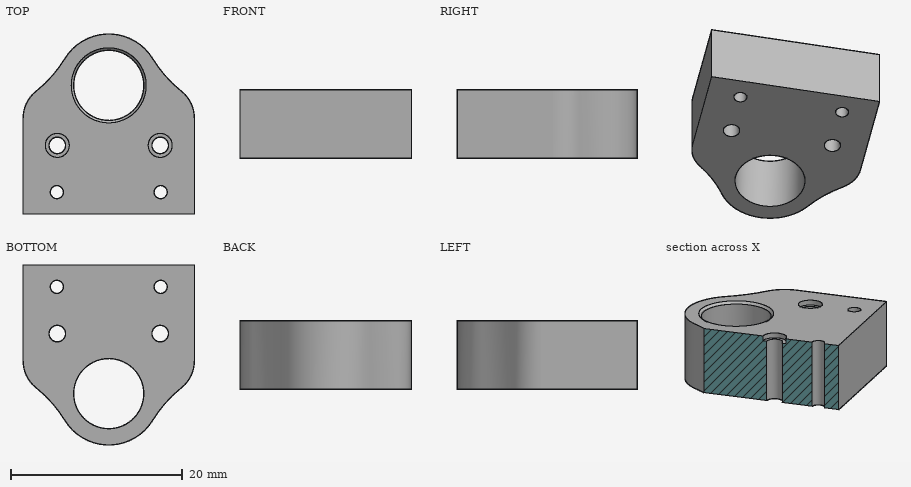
import cadquery as cq
import math

WIDTH = 20.0
HEIGHT = 8.0

EYE_Y = 15.0
EYE_RADIUS = 6.0
BORE_DIAMETER = 8.15
BORE_CHAMFER = 0.3
CHAMFER_CONE_ANGLE = 90

SHOULDER_RADIUS = 4.0
SHOULDER_X = WIDTH / 2 - SHOULDER_RADIUS
SHOULDER_Y = 11.18
BLEND_RADIUS = 15.0

SCREW_X = 6.0
SCREW_Y = 8.0
SCREW_DIAMETER = 1.9
COUNTERBORE_DIAMETER = 2.8
COUNTERBORE_DEPTH = 0.6

PIN_X = 6.05
PIN_Y = 2.55
PIN_DIAMETER = 1.5


def blend_center():
    """Center of the right-hand concave arc, tangent to both the eye and the shoulder."""
    to_eye = EYE_RADIUS + BLEND_RADIUS
    to_shoulder = SHOULDER_RADIUS + BLEND_RADIUS
    dx = SHOULDER_X
    dy = SHOULDER_Y - EYE_Y
    span = math.hypot(dx, dy)
    along = (to_eye**2 - to_shoulder**2 + span**2) / (2 * span)
    across = math.sqrt(to_eye**2 - along**2)
    return (along * dx - across * dy) / span, EYE_Y + (along * dy + across * dx) / span


def toward(start, end, distance):
    """Point at the given distance from start, in the direction of end."""
    fraction = distance / math.dist(start, end)
    return start[0] + (end[0] - start[0]) * fraction, start[1] + (end[1] - start[1]) * fraction


def arc_middle(center, radius, start, end):
    """Middle point of the minor arc from start to end."""
    chord_middle = ((start[0] + end[0]) / 2, (start[1] + end[1]) / 2)
    return toward(center, chord_middle, radius)


def mirrored(point):
    """Same point on the left-hand side."""
    return -point[0], point[1]


def make_body():
    """Block extruded from the outline, with the eye rising behind the shoulders."""
    eye = (0, EYE_Y)
    shoulder = (SHOULDER_X, SHOULDER_Y)
    blend = blend_center()
    corner = (WIDTH / 2, 0)
    side_end = (WIDTH / 2, SHOULDER_Y)
    shoulder_end = toward(shoulder, blend, SHOULDER_RADIUS)
    eye_start = toward(eye, blend, EYE_RADIUS)
    eye_top = (0, EYE_Y + EYE_RADIUS)

    shoulder_mid = arc_middle(shoulder, SHOULDER_RADIUS, side_end, shoulder_end)
    blend_mid = arc_middle(blend, BLEND_RADIUS, shoulder_end, eye_start)

    return (
        cq.Workplane("XY")
        .moveTo(*mirrored(corner))
        .lineTo(*corner)
        .lineTo(*side_end)
        .threePointArc(shoulder_mid, shoulder_end)
        .threePointArc(blend_mid, eye_start)
        .threePointArc(eye_top, mirrored(eye_start))
        .threePointArc(mirrored(blend_mid), mirrored(shoulder_end))
        .threePointArc(mirrored(shoulder_mid), mirrored(side_end))
        .close()
        .extrude(HEIGHT)
    )


def top_plane(body):
    """Workplane on the top face, centered on the part's Z axis."""
    return body.faces(">Z").workplane(origin=(0, 0, HEIGHT))


def mirrored_pair(body, x, y):
    """Workplane on the top face with one point at (x, y) and one at (-x, y)."""
    return top_plane(body).pushPoints([(-x, y), (x, y)])


def cut_bore(body):
    """Through bore in the eye, chamfered at its top rim."""
    rim_diameter = BORE_DIAMETER + 2 * BORE_CHAMFER
    return top_plane(body).center(0, EYE_Y).cskHole(BORE_DIAMETER, rim_diameter, CHAMFER_CONE_ANGLE)


def cut_screw_holes(body):
    """Pair of through holes, counterbored from the top."""
    centers = mirrored_pair(body, SCREW_X, SCREW_Y)
    return centers.cboreHole(SCREW_DIAMETER, COUNTERBORE_DIAMETER, COUNTERBORE_DEPTH)


def cut_pin_holes(body):
    """Pair of plain through holes."""
    return mirrored_pair(body, PIN_X, PIN_Y).hole(PIN_DIAMETER)


body = make_body()
body = cut_bore(body)
body = cut_screw_holes(body)
result = cut_pin_holes(body)